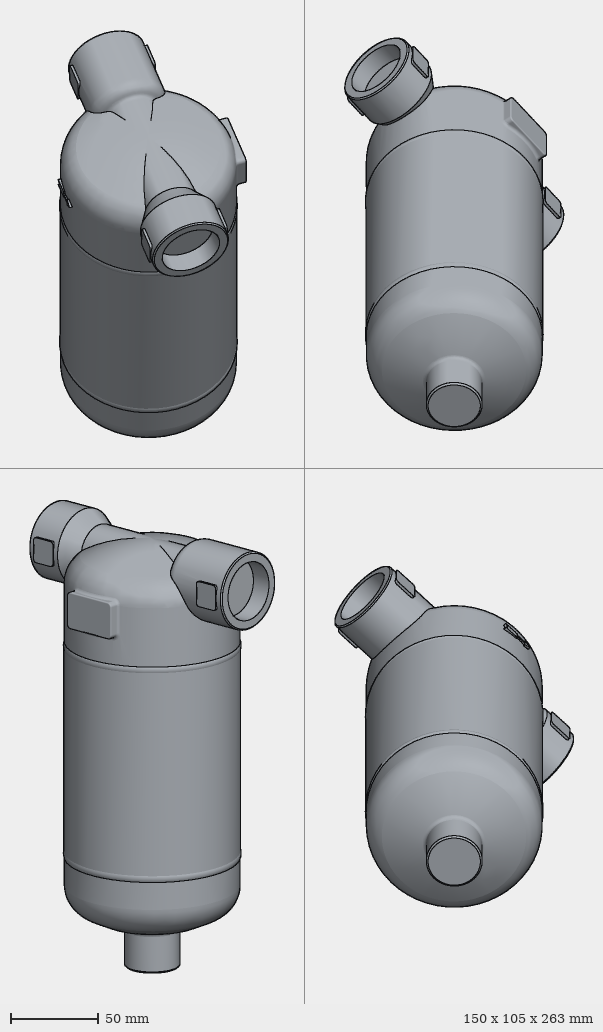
import cadquery as cq
import math

total_height = 263.0
pipe_length = 150.0

head_skirt_radius = 50.5
shell_radius = 50.8
crown_radius = 84.2
knuckle_radius = 18.0
lower_tangent_z = 48.7
weld_radius = 51.0
weld_width = 3.7
lower_weld_z = 67.0
upper_weld_z = 192.5

socket_diameter = 46.0
neck_radius = 16.0
rim_chamfer = 0.8
bore_radius = 17.4
bore_depth = 12.0
inlet_shoulder_x = -37.5
inlet_shoulder_radius = 8.0
inlet_root_radius = 3.2
outlet_cone_start_x = 40.8
outlet_cone_end_x = 52.5

pad_size = 15.0
pad_corner_radius = 1.8
pad_centre_x = 63.5
pad_reach = 23.5

drain_radius = 16.0
drain_chamfer = 1.0
drain_fillet = 2.4

plate_width = 34.5
plate_height = 21.8
plate_centre_z = 221.7
plate_face_y = 53.7
plate_corner_radius = 2.5
plate_edge_fillet = 0.8
plate_base_fillet = 2.0

arrow_centre_z = 223.0
arrow_face_y = -51.3
arrow_tail_x = -10.0
arrow_notch_depth = 1.5
arrow_block_end_x = -0.5
arrow_head_x = 5.8
arrow_tip_x = 10.0
arrow_half_height = 2.4
arrow_shaft_half_height = 0.8

selection_margin = 0.3
plate_joint_setback = 0.8

socket_radius = socket_diameter / 2
pipe_z = total_height - socket_radius
pipe_end_x = pipe_length / 2
knuckle_centre_radius = head_skirt_radius - knuckle_radius
crown_offset = math.sqrt((crown_radius - knuckle_radius) ** 2 - knuckle_centre_radius ** 2)
head_height = crown_radius - crown_offset
upper_tangent_z = pipe_z + neck_radius - head_height
head_angle = math.atan2(crown_offset, knuckle_centre_radius)


def head_point(angle):
    """Radius and height above the tangent line of a knuckle point at the given angle."""
    return (
        knuckle_centre_radius + knuckle_radius * math.cos(angle),
        knuckle_radius * math.sin(angle),
    )


def crown_point(radius):
    """Radius and height above the tangent line of a crown point at the given radius."""
    return radius, math.sqrt(crown_radius ** 2 - radius ** 2) - crown_offset


def make_vessel():
    """Shell, heads and weld beads, revolved about Z from a profile of (radius, z) points."""
    knuckle_mid = head_point(head_angle / 2)
    knuckle_end = head_point(head_angle)
    crown_mid = crown_point(knuckle_end[0] / 2)

    def upper(point):
        return point[0], upper_tangent_z + point[1]

    def lower(point):
        return point[0], lower_tangent_z - point[1]

    profile = (
        cq.Workplane("XZ")
        .moveTo(0, lower_tangent_z - head_height)
        .threePointArc(lower(crown_mid), lower(knuckle_end))
        .threePointArc(lower(knuckle_mid), (head_skirt_radius, lower_tangent_z))
        .lineTo(head_skirt_radius, lower_weld_z - weld_width / 2)
        .threePointArc((weld_radius, lower_weld_z), (shell_radius, lower_weld_z + weld_width / 2))
        .lineTo(shell_radius, upper_weld_z - weld_width / 2)
        .threePointArc((weld_radius, upper_weld_z), (head_skirt_radius, upper_weld_z + weld_width / 2))
        .lineTo(head_skirt_radius, upper_tangent_z)
        .threePointArc(upper(knuckle_mid), upper(knuckle_end))
        .threePointArc(upper(crown_mid), (0, upper_tangent_z + head_height))
        .close()
    )
    return profile.revolve(360, (0, 0, 0), (0, 1, 0))


def make_drain():
    """Solid drain pipe, run up into the lower head as far as its tangent line."""
    return (
        cq.Workplane("XY")
        .circle(drain_radius)
        .extrude(lower_tangent_z)
        .faces("<Z")
        .chamfer(drain_chamfer)
    )


def make_pipe():
    """Pipe body, revolved about X from a profile of (x, radius) points."""
    radius_sum = inlet_shoulder_radius + inlet_root_radius
    turn = math.acos(1 - (socket_radius - neck_radius) / radius_sum)

    def shoulder(angle):
        return (
            inlet_shoulder_x + inlet_shoulder_radius * math.sin(angle),
            socket_radius - inlet_shoulder_radius * (1 - math.cos(angle)),
        )

    neck_start_x = inlet_shoulder_x + radius_sum * math.sin(turn)

    def root(angle):
        return (
            neck_start_x - inlet_root_radius * math.sin(angle),
            neck_radius + inlet_root_radius * (1 - math.cos(angle)),
        )

    return (
        cq.Workplane("XZ", origin=(0, 0, pipe_z))
        .moveTo(-pipe_end_x, 0)
        .lineTo(-pipe_end_x, socket_radius - rim_chamfer)
        .lineTo(-pipe_end_x + rim_chamfer, socket_radius)
        .lineTo(inlet_shoulder_x, socket_radius)
        .threePointArc(shoulder(turn / 2), shoulder(turn))
        .threePointArc(root(turn / 2), root(0))
        .lineTo(outlet_cone_start_x, neck_radius)
        .lineTo(outlet_cone_end_x, socket_radius)
        .lineTo(pipe_end_x - rim_chamfer, socket_radius)
        .lineTo(pipe_end_x, socket_radius - rim_chamfer)
        .lineTo(pipe_end_x, 0)
        .close()
        .revolve(360, (0, 0, 0), (1, 0, 0))
    )


def make_pads(side):
    """Pair of wrench pads, front and back, on the socket at the given side (-1 or 1)."""
    return (
        cq.Workplane("XY")
        .box(pad_size, 2 * pad_reach, pad_size)
        .edges("|Y")
        .fillet(pad_corner_radius)
        .translate((side * pad_centre_x, 0, pipe_z))
    )


def make_bore(side):
    """Blind socket bore at the given end of the pipe (-1 or 1)."""
    return (
        cq.Workplane("YZ", origin=(side * pipe_end_x, 0, pipe_z))
        .circle(bore_radius)
        .extrude(-side * bore_depth)
    )


def make_nameplate():
    """Plate block running from the vessel axis out to the plate face."""
    return (
        cq.Workplane("XZ", origin=(0, 0, plate_centre_z))
        .rect(plate_width, plate_height)
        .extrude(-plate_face_y)
        .edges("|Y")
        .fillet(plate_corner_radius)
        .faces(">Y")
        .edges()
        .fillet(plate_edge_fillet)
    )


def make_arrow():
    """Flow arrow block running from the vessel axis out to the arrow face."""
    upper_half = [
        (arrow_tail_x + arrow_notch_depth, 0),
        (arrow_tail_x, arrow_half_height),
        (arrow_block_end_x, arrow_half_height),
        (arrow_block_end_x, arrow_shaft_half_height),
        (arrow_head_x, arrow_shaft_half_height),
        (arrow_head_x, arrow_half_height),
        (arrow_tip_x, 0),
    ]
    lower_half = [(x, -z) for x, z in reversed(upper_half[1:-1])]
    return (
        cq.Workplane("XZ", origin=(0, 0, arrow_centre_z))
        .polyline(upper_half + lower_half)
        .close()
        .extrude(-arrow_face_y)
    )


def edges_between(low_corner, high_corner):
    """Selector for edges that lie entirely inside a box, with a small margin around it."""
    low = tuple(value - selection_margin for value in low_corner)
    high = tuple(value + selection_margin for value in high_corner)
    return cq.selectors.BoxSelector(low, high, boundingbox=True)


drain_joint_z = lower_tangent_z - crown_point(drain_radius)[1]
drain_joint = edges_between(
    (-drain_radius, -drain_radius, drain_joint_z),
    (drain_radius, drain_radius, drain_joint_z),
)

plate_joint_y = math.sqrt(head_skirt_radius ** 2 - (plate_width / 2) ** 2)
plate_joint = edges_between(
    (-plate_width / 2, plate_joint_y - plate_joint_setback, plate_centre_z - plate_height / 2),
    (plate_width / 2, head_skirt_radius, plate_centre_z + plate_height / 2),
)

result = make_vessel().union(make_drain()).edges(drain_joint).fillet(drain_fillet)
result = result.union(make_nameplate()).edges(plate_joint).fillet(plate_base_fillet)
result = result.union(make_pipe()).union(make_arrow())
for side in (-1, 1):
    result = result.union(make_pads(side)).cut(make_bore(side))